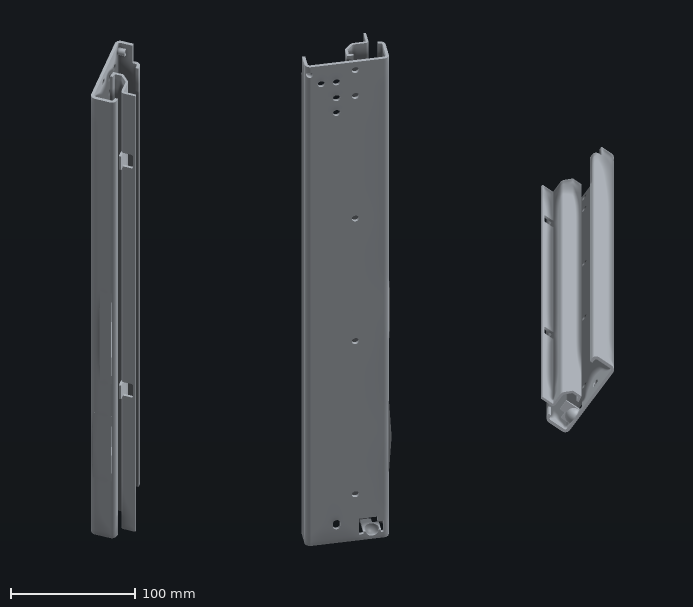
import cadquery as cq
import math

length = 500.0
half_length = length / 2
top_y = 35.5
bottom_y = -33.5
channel_width = 21.0
channel_sheet = 2.5
corner_radius = 4.5
lip_radius = 4.0
upper_lip_height = 7.0
lower_lip_height = 6.0
lower_lip_slope = 0.2
relief_x = 14.5
relief_depth = 20.0

middle_y = (top_y + bottom_y) / 2
flared_lip_x = channel_width + lower_lip_slope * (middle_y - bottom_y)

hole_diameter = 6.0
screw_y = -5.5
end_screw_z = 241.5
row_z = 214.5
screw_steps = [0, 128.0, 256.0, 416.0]
mount_y = 10.0
mount_top_z = 231.0
mount_bottom_z = 199.0
outer_mount_y = 22.5
slot_z = -231.0
slot_length = 9.5

tab_top_z = -241.5
tab_upper_y = -12.0
tab_step_y = -21.0
tab_lower_y = -26.5
tab_long_reach = 15.5
tab_short_reach = 10.5
tab_bend_radius = 2.0
window_upper_y = -8.5
window_step_y = -23.5
window_lower_y = -28.5
window_long_height = 14.0
window_short_height = 9.0

dimple_radius = 6.0
dimple_wall = 1.5
dimple_x = 3.0

collar_y = 32.0
collar_length = 9.0
collar_hole_diameter = 5.5
collar_wall = 0.5

pad_height = 2.0
pad_right_x = 19.0
pads = [
    (9.0, 31.0, -2.0, -38.0, -73.0),
    (3.0, -110.5, -146.0, -150.5, -184.5),
]

runner_sheet = 2.0
runner_top_y = 0.0
runner_left_x = 9.0
runner_leg_x = 24.0
runner_bevel = 6.5
bevel_angle = math.radians(45)
foot_height = 5.5
foot_flare = 1.0
flange_edge_x = 34.5
flange_top_y = -18.5
leg_bend_radius = 5.0
bend_radius = 2.5
notch_width = 15.5
notch_edge_x = 32.5
notch_corner_radius = 1.5
notch_z = [174.0, -89.0]
lug_end_y = -25.0


def bar(outline):
    """Extrude an XY outline over the whole rail length."""
    return outline.extrude(length).translate((0, 0, -half_length))


def box(x0, x1, y0, y1, z0, z1):
    """Box between opposite corners."""
    return cq.Workplane("XY").box(x1 - x0, y1 - y0, z1 - z0, centered=False).translate((x0, y0, z0))


def rounded_block(inset):
    """Bar with the channel's outer outline, shrunk by inset on every side."""
    corners = [
        (0, top_y), (channel_width, top_y), (channel_width, middle_y),
        (flared_lip_x, middle_y), (channel_width, bottom_y), (0, bottom_y),
    ]
    outline = cq.Workplane("XY").polyline(corners).close()
    if inset:
        outline = outline.offset2D(-inset, "intersection")
    block = bar(outline)
    block = block.edges("|Z and <X").fillet(corner_radius - inset)
    upper_lip_corner = block.faces(">Y").edges("|Z and >X")
    block = upper_lip_corner.fillet(lip_radius - inset)
    lower_lip_corner = block.faces("<Y").edges("|Z and >X")
    return lower_lip_corner.fillet(lip_radius - inset)


def make_channel_sheet():
    """C-shaped sheet: web, two flanges and two lips, open between the lips."""
    sheet = rounded_block(0).cut(rounded_block(channel_sheet))
    mouth = box(
        channel_width / 2, flared_lip_x,
        bottom_y + lower_lip_height, top_y - upper_lip_height,
        -half_length, half_length,
    )
    relief = box(relief_x, channel_width, middle_y, top_y, half_length - relief_depth, half_length)
    return sheet.cut(mouth).cut(relief)


def web_holes():
    """Tools for the round holes and the slot through the web."""
    screws = [(screw_y, end_screw_z)] + [(screw_y, row_z - step) for step in screw_steps]
    mounts = [(mount_y, z) for z in (mount_top_z, row_z, mount_bottom_z)]
    mounts.append((outer_mount_y, mount_top_z))
    tools = cq.Workplane("YZ").pushPoints(screws + mounts).circle(hole_diameter / 2).extrude(channel_sheet)
    slot = cq.Workplane("YZ").center(mount_y, slot_z).slot2D(slot_length, hole_diameter, 90)
    return tools.union(slot.extrude(channel_sheet))


def tab_window():
    """Stepped opening in the web that the tab was bent out of."""
    floor = tab_top_z - channel_sheet
    long_part = box(0, channel_sheet, window_step_y, window_upper_y, floor, tab_top_z + window_long_height)
    short_part = box(0, channel_sheet, window_lower_y, window_step_y, floor, tab_top_z + window_short_height)
    return long_part.union(short_part)


def tab():
    """Stepped horizontal tab, rounded where it turns out of the web."""
    floor = tab_top_z - channel_sheet
    long_part = box(0, tab_long_reach, tab_step_y, tab_upper_y, floor, tab_top_z)
    short_part = box(0, tab_short_reach, tab_lower_y, tab_step_y, floor, tab_top_z)
    return long_part.union(short_part).edges("|Y and <X and >Z").fillet(tab_bend_radius)


def add_tab_dimple(channel):
    """Press a ball into the tab's bend: thicken the sheet below it, then hollow it out."""
    center = (dimple_x, (tab_upper_y + tab_lower_y) / 2, tab_top_z)
    below_tab = box(0, channel_width, tab_lower_y, tab_upper_y, -half_length, tab_top_z)
    backing = cq.Workplane("XY").sphere(dimple_radius + dimple_wall).translate(center)
    hollow = cq.Workplane("XY").sphere(dimple_radius).translate(center)
    return channel.union(backing.intersect(below_tab)).cut(hollow)


def add_collared_hole(channel):
    """Hole along X in the upper corner, with a collar standing inside the channel."""
    center = cq.Workplane("YZ").center(collar_y, end_screw_z)
    collar = center.circle(collar_hole_diameter / 2 + collar_wall).extrude(collar_length)
    hole = center.circle(collar_hole_diameter / 2).extrude(collar_length)
    return channel.union(collar.intersect(rounded_block(0))).cut(hole)


def flange_pad(left_x, upper_z, flat_upper_z, flat_lower_z, lower_z):
    """Raised pad with sloping ends on the outside of the lower flange."""
    root_y = bottom_y + channel_sheet / 2
    face_y = bottom_y - pad_height
    outline = cq.Workplane("YZ").polyline([
        (root_y, upper_z), (bottom_y, upper_z), (face_y, flat_upper_z),
        (face_y, flat_lower_z), (bottom_y, lower_z), (root_y, lower_z),
    ]).close()
    return outline.extrude(pad_right_x - left_x).translate((left_x, 0, 0))


def make_channel():
    """Channel sheet with its holes, bent tab, pads, dimple and collared hole."""
    channel = make_channel_sheet().cut(web_holes()).cut(tab_window()).union(tab())
    for pad in pads:
        channel = channel.union(flange_pad(*pad))
    return add_collared_hole(add_tab_dimple(channel))


def make_runner():
    """Hooked sheet with a side flange; lugs stay straight where the flange is notched."""
    sheet = runner_sheet
    flange_bottom_y = flange_top_y - sheet
    diagonal_shift = sheet * math.tan(bevel_angle / 2)
    inner_bevel_y = runner_top_y - runner_bevel - diagonal_shift
    foot_y = runner_top_y - foot_height
    inner_x = runner_leg_x - sheet
    inner_top = runner_top_y - sheet
    inner_bend = bend_radius - sheet
    outline = (
        cq.Workplane("XY")
        .moveTo(runner_left_x, runner_top_y)
        .lineTo(runner_leg_x - runner_bevel, runner_top_y)
        .lineTo(runner_leg_x, runner_top_y - runner_bevel)
        .lineTo(runner_leg_x, flange_top_y + inner_bend)
        .radiusArc((runner_leg_x + inner_bend, flange_top_y), -inner_bend)
        .lineTo(flange_edge_x, flange_top_y)
        .lineTo(flange_edge_x, flange_bottom_y)
        .lineTo(inner_x + bend_radius, flange_bottom_y)
        .radiusArc((inner_x, flange_bottom_y + bend_radius), bend_radius)
        .lineTo(inner_x, inner_bevel_y)
        .lineTo(runner_leg_x - runner_bevel - diagonal_shift, inner_top)
        .lineTo(runner_left_x + sheet, inner_top)
        .lineTo(runner_left_x + sheet - foot_flare, foot_y)
        .lineTo(runner_left_x - foot_flare, foot_y)
        .close()
    )
    runner = bar(outline)
    outer_leg_bend = cq.selectors.NearestToPointSelector((runner_leg_x, runner_top_y - runner_bevel, 0))
    runner = runner.edges("|Z").edges(outer_leg_bend).fillet(leg_bend_radius)
    inner_leg_bend = cq.selectors.NearestToPointSelector((inner_x, inner_bevel_y, 0))
    runner = runner.edges("|Z").edges(inner_leg_bend).fillet(leg_bend_radius - sheet)
    for z in notch_z:
        low, high = z - notch_width / 2, z + notch_width / 2
        notch = box(inner_x, notch_edge_x, flange_bottom_y, flange_top_y + inner_bend, low, high)
        notch = notch.edges("|Y and >X").fillet(notch_corner_radius)
        lug = box(inner_x, runner_leg_x, lug_end_y, flange_top_y + inner_bend, low, high)
        runner = runner.cut(notch).union(lug)
    return runner


channel = make_channel()
runner = make_runner()
result = cq.Compound.makeCompound([channel.val(), runner.val()])